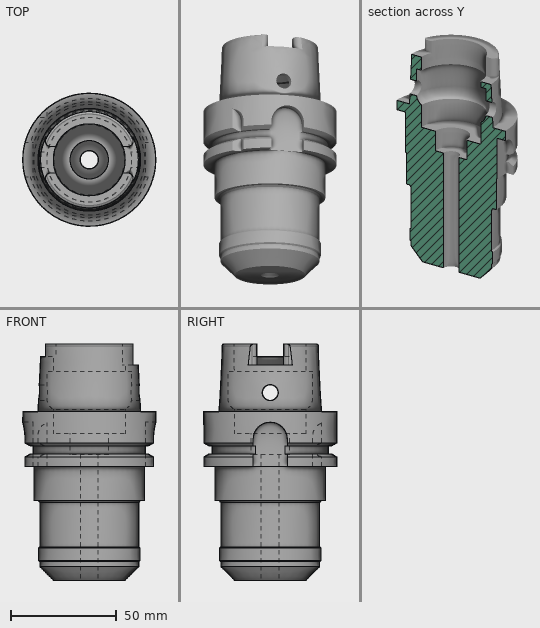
import cadquery as cq

TOTAL_LENGTH = 112.0

TAPER_LENGTH = 32.0
TAPER_BASE_RADIUS = 24.3
TAPER_RADIUS_SLOPE = 0.05
TAPER_RIM_FILLET = 1.1

FLANGE_RADIUS = 31.5
FLANGE_LENGTH = 26.0
UPPER_FLANGE_LENGTH = 14.8
LOWER_FLANGE_LENGTH = 4.5
GROOVE_FLANK_HEIGHT = 1.5
GROOVE_LIP_RADIUS = 29.0
GROOVE_RADIUS = 27.4

BODY_RADIUS = 26.2
BODY_LENGTH = 16.1
BODY_STEP_RADIUS = 24.1
BODY_STEP_HEIGHT = 0.9
NECK_RADIUS = 23.4
BAND_RADIUS = 24.1
BAND_TOP = 16.0
BAND_BOTTOM = 9.0
BAND_CHAMFER = BAND_RADIUS - NECK_RADIUS
NOSE_CONE_HEIGHT = 6.7
NOSE_RADIUS = NECK_RADIUS - NOSE_CONE_HEIGHT

BORE_RADIUS = 17.0
BORE_DEPTH = 42.3
UNDERCUT_RADIUS = 20.0
UNDERCUT_TOP_DEPTH = 13.1
UNDERCUT_WALL_END_DEPTH = 25.8
UNDERCUT_ARC_RADIUS = 6.0
COOLANT_POCKET_RADIUS = 9.1
COOLANT_POCKET_DEPTH = 10.1
COOLANT_HOLE_RADIUS = 4.3

RIM_SLOT_WIDTH = 12.5
RIM_SLOT_DEPTH_LEFT = 6.0
RIM_SLOT_DEPTH_RIGHT = 10.0
CLAW_END_X = 20.7
CLAW_CORNER_RADIUS = 2.5

CROSS_HOLE_DIAMETER = 7.4
CROSS_HOLE_DEPTH = 23.1

KEYWAY_WIDTH = 16.1
ARCH_TOP_DEPTH = 5.0
KEYWAY_FLAT_X = 26.5
NOTCH_WIDTH = 13.0
NOTCH_CORNER = 20.0

CUT_CLEARANCE = 2.2

FLANGE_TOP = TOTAL_LENGTH - TAPER_LENGTH
FLANGE_BOTTOM = FLANGE_TOP - FLANGE_LENGTH
BODY_BOTTOM = FLANGE_BOTTOM - BODY_LENGTH
OUTER_REACH = FLANGE_RADIUS + CUT_CLEARANCE


def outer_body():
    rim_radius = TAPER_BASE_RADIUS - TAPER_RADIUS_SLOPE * TAPER_LENGTH
    groove_top = FLANGE_TOP - UPPER_FLANGE_LENGTH
    groove_bottom = FLANGE_BOTTOM + LOWER_FLANGE_LENGTH
    profile = [
        (0, 0),
        (NOSE_RADIUS, 0),
        (NECK_RADIUS, NOSE_CONE_HEIGHT),
        (NECK_RADIUS, BAND_BOTTOM),
        (BAND_RADIUS, BAND_BOTTOM + BAND_CHAMFER),
        (BAND_RADIUS, BAND_TOP - BAND_CHAMFER),
        (NECK_RADIUS, BAND_TOP),
        (NECK_RADIUS, BODY_BOTTOM - BODY_STEP_HEIGHT),
        (BODY_STEP_RADIUS, BODY_BOTTOM),
        (BODY_RADIUS, BODY_BOTTOM),
        (BODY_RADIUS, FLANGE_BOTTOM),
        (FLANGE_RADIUS, FLANGE_BOTTOM),
        (FLANGE_RADIUS, groove_bottom),
        (GROOVE_LIP_RADIUS, groove_bottom + GROOVE_FLANK_HEIGHT),
        (GROOVE_RADIUS, groove_bottom + GROOVE_FLANK_HEIGHT),
        (GROOVE_RADIUS, groove_top - GROOVE_FLANK_HEIGHT),
        (GROOVE_LIP_RADIUS, groove_top - GROOVE_FLANK_HEIGHT),
        (FLANGE_RADIUS, groove_top),
        (FLANGE_RADIUS, FLANGE_TOP),
        (TAPER_BASE_RADIUS, FLANGE_TOP),
        (rim_radius, TOTAL_LENGTH),
        (0, TOTAL_LENGTH),
    ]
    body = cq.Workplane("XZ").polyline(profile).close().revolve(360, (0, 0), (0, 1))
    return body.faces(">Z").edges().fillet(TAPER_RIM_FILLET)


def bore():
    """Stepped bore with an undercut that runs out into the bore along an arc."""
    floor = TOTAL_LENGTH - BORE_DEPTH
    pocket_floor = floor - COOLANT_POCKET_DEPTH
    undercut_top = TOTAL_LENGTH - UNDERCUT_TOP_DEPTH
    arc_top = TOTAL_LENGTH - UNDERCUT_WALL_END_DEPTH
    arc_center_radius = UNDERCUT_RADIUS - UNDERCUT_ARC_RADIUS
    arc_height = (UNDERCUT_ARC_RADIUS**2 - (BORE_RADIUS - arc_center_radius) ** 2) ** 0.5
    return (
        cq.Workplane("XZ")
        .moveTo(0, 0)
        .lineTo(COOLANT_HOLE_RADIUS, 0)
        .lineTo(COOLANT_HOLE_RADIUS, pocket_floor)
        .lineTo(COOLANT_POCKET_RADIUS, pocket_floor)
        .lineTo(COOLANT_POCKET_RADIUS, floor)
        .lineTo(BORE_RADIUS, floor)
        .lineTo(BORE_RADIUS, arc_top - arc_height)
        .radiusArc((UNDERCUT_RADIUS, arc_top), -UNDERCUT_ARC_RADIUS)
        .lineTo(UNDERCUT_RADIUS, undercut_top)
        .lineTo(BORE_RADIUS, undercut_top)
        .lineTo(BORE_RADIUS, TOTAL_LENGTH)
        .lineTo(0, TOTAL_LENGTH)
        .close()
        .revolve(360, (0, 0), (0, 1))
    )


def rim_slot(side, depth):
    """Slot through the rim on the side -1 (-X) or +1 (+X), rounding the claw ends."""
    bottom = TOTAL_LENGTH - depth
    half_width = RIM_SLOT_WIDTH / 2
    arc_start_x = CLAW_END_X - CLAW_CORNER_RADIUS
    arc_end_y = half_width + CLAW_CORNER_RADIUS
    outline = (
        cq.Workplane("XY")
        .workplane(offset=bottom)
        .moveTo(0, -half_width)
        .lineTo(arc_start_x, -half_width)
        .radiusArc((CLAW_END_X, -arc_end_y), CLAW_CORNER_RADIUS)
        .lineTo(CLAW_END_X, -OUTER_REACH)
        .lineTo(OUTER_REACH, -OUTER_REACH)
        .lineTo(OUTER_REACH, OUTER_REACH)
        .lineTo(CLAW_END_X, OUTER_REACH)
        .lineTo(CLAW_END_X, arc_end_y)
        .radiusArc((arc_start_x, half_width), CLAW_CORNER_RADIUS)
        .lineTo(0, half_width)
        .close()
    )
    slot = outline.extrude(depth + CUT_CLEARANCE)
    return slot if side > 0 else slot.mirror("YZ")


def cross_hole():
    return (
        cq.Workplane("YZ")
        .center(0, TOTAL_LENGTH - CROSS_HOLE_DEPTH)
        .circle(CROSS_HOLE_DIAMETER / 2)
        .extrude(OUTER_REACH, both=True)
    )


def arched_cut(side, floor_x, center_y, width):
    """Arch-topped cut, open downwards, outward from a flat at floor_x on side -1 or +1."""
    half_width = width / 2
    arch_top = FLANGE_TOP - ARCH_TOP_DEPTH
    arch_spring = arch_top - half_width
    return (
        cq.Workplane("YZ")
        .workplane(offset=side * floor_x)
        .moveTo(center_y - half_width, FLANGE_BOTTOM)
        .lineTo(center_y - half_width, arch_spring)
        .threePointArc((center_y, arch_top), (center_y + half_width, arch_spring))
        .lineTo(center_y + half_width, FLANGE_BOTTOM)
        .close()
        .extrude(side * (OUTER_REACH - floor_x))
    )


result = outer_body().cut(bore()).cut(cross_hole())
result = result.cut(rim_slot(-1, RIM_SLOT_DEPTH_LEFT)).cut(rim_slot(1, RIM_SLOT_DEPTH_RIGHT))

for keyway_side in (-1, 1):
    result = result.cut(arched_cut(keyway_side, KEYWAY_FLAT_X, 0, KEYWAY_WIDTH))

notch_center_y = NOTCH_CORNER + NOTCH_WIDTH / 2
result = result.cut(arched_cut(-1, NOTCH_CORNER, notch_center_y, NOTCH_WIDTH))